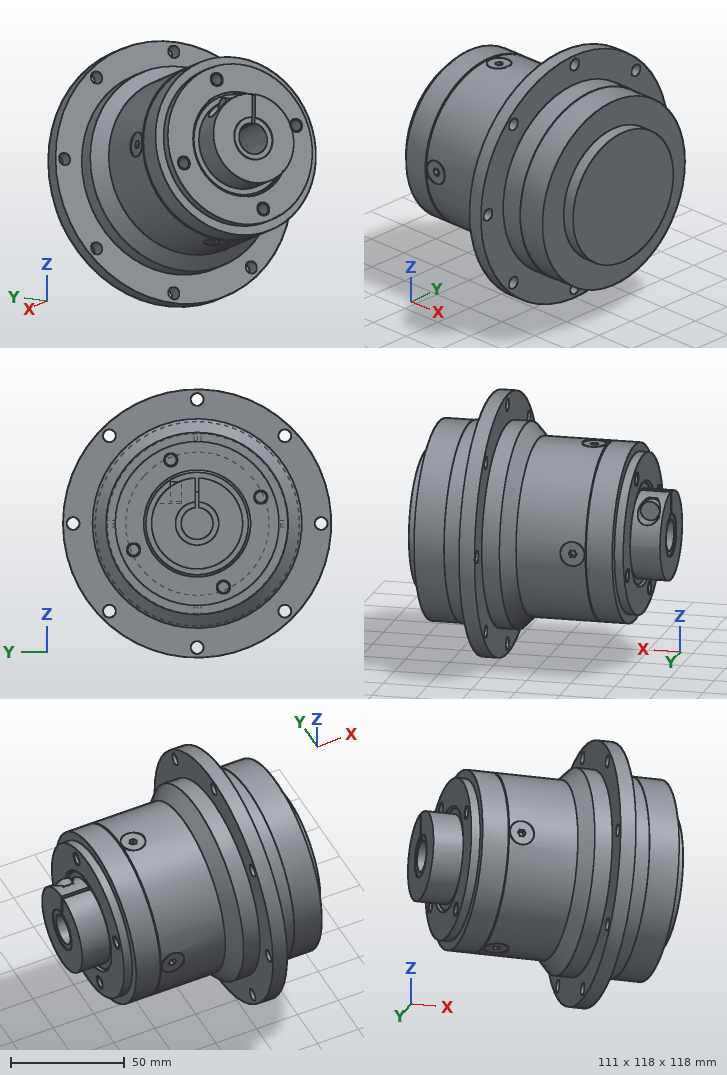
import cadquery as cq
import math


hub_end, hub_diameter = 12.6, 40.0
collar_end, collar_diameter = 16.6, 72.0
body_end, body_diameter = 60.2, 80.0
cone_end, shoulder_diameter = 66.2, 92.0
flange_start, flange_end, flange_diameter = 74.2, 81.2, 118.0
pilot_end, pilot_diameter = 91.6, 90.0
rear_end, rear_diameter = 105.2, 89.6
part_length, spigot_diameter = 111.0, 63.0

groove_start = 28.5
groove_width = 0.3
groove_depth = 0.4

recess_diameter = 47.0
recess_floor_diameter = 45.0
recess_floor_depth = 1.0
recess_bevel = (recess_diameter - recess_floor_diameter) / 2

mouth_diameter = 19.0
mouth_depth = 0.5
bore_diameter = 14.0
bore_depth = 30.0

slit_width = 1.5
slit_outer_end = hub_end + recess_floor_depth
slit_inner_end = bore_depth
slit_step_height = 13.9

screw_x = 6.5
screw_z = 14.0
counterbore_diameter = 10.0
counterbore_seat_y = 7.0
screw_head_diameter = 8.5
screw_head_length = 4.9

flange_hole_count = 8
flange_hole_diameter = 5.5
flange_hole_circle = 109.0

tapped_hole_count = 4
tapped_hole_diameter = 5.0
tapped_hole_mouth_diameter = 6.0
tapped_hole_mouth_depth = 0.2
tapped_hole_depth = 12.0
tapped_hole_circle = 60.5
tapped_hole_angle = 22.5

plug_count = 4
plug_x = 34.7
plug_diameter = 11.0
plug_face_radius = 39.5
socket_across_corners = 3.5
socket_depth = 3.0


def x_cylinder(diameter, start, end):
    """Cylinder on the part axis between two X positions."""
    return cq.Workplane("YZ").workplane(offset=start).circle(diameter / 2).extrude(end - start)


def y_cylinder(diameter, start, end):
    """Cylinder along +Y on the clamping screw axis."""
    center = cq.Vector(screw_x, start, screw_z)
    return cq.Workplane(cq.Solid.makeCylinder(diameter / 2, end - start, center, cq.Vector(0, 1, 0)))


def axial_cutter(diameter, start, end, y, z):
    """Cylinder parallel to the part axis at a given Y, Z."""
    return x_cylinder(diameter, start, end).translate((0, y, z))


def make_turned_body():
    profile = [
        (0, 0),
        (0, hub_diameter / 2),
        (hub_end, hub_diameter / 2),
        (hub_end, collar_diameter / 2),
        (collar_end, collar_diameter / 2),
        (collar_end, body_diameter / 2),
        (body_end, body_diameter / 2),
        (cone_end, shoulder_diameter / 2),
        (flange_start, shoulder_diameter / 2),
        (flange_start, flange_diameter / 2),
        (flange_end, flange_diameter / 2),
        (flange_end, pilot_diameter / 2),
        (pilot_end, pilot_diameter / 2),
        (pilot_end, rear_diameter / 2),
        (rear_end, rear_diameter / 2),
        (rear_end, spigot_diameter / 2),
        (part_length, spigot_diameter / 2),
        (part_length, 0),
    ]
    return cq.Workplane("XY").polyline(profile).close().revolve(360, (0, 0, 0), (1, 0, 0))


def make_joint_groove():
    groove_end = groove_start + groove_width
    ring = x_cylinder(body_diameter, groove_start, groove_end)
    return ring.cut(x_cylinder(body_diameter - 2 * groove_depth, groove_start, groove_end))


def make_hub_recess():
    floor = hub_end + recess_floor_depth
    section = [
        (hub_end, hub_diameter / 2),
        (hub_end, recess_diameter / 2),
        (floor + recess_bevel, recess_diameter / 2),
        (floor, recess_floor_diameter / 2),
        (floor, hub_diameter / 2),
    ]
    return cq.Workplane("XY").polyline(section).close().revolve(360, (0, 0, 0), (1, 0, 0))


def make_bore():
    return x_cylinder(mouth_diameter, 0, mouth_depth).union(x_cylinder(bore_diameter, 0, bore_depth))


def make_slit():
    outer = cq.Workplane("XY").box(
        slit_outer_end, slit_width, hub_diameter / 2, centered=(False, True, False)
    )
    inner = cq.Workplane("XY").box(
        slit_inner_end, slit_width, slit_step_height, centered=(False, True, False)
    )
    return outer.union(inner)


def add_clamping_screw(body):
    counterbore = y_cylinder(counterbore_diameter, counterbore_seat_y, hub_diameter / 2)
    head = y_cylinder(screw_head_diameter, counterbore_seat_y, counterbore_seat_y + screw_head_length)
    return body.cut(counterbore).union(head)


def cut_flange_holes(body):
    radius = flange_hole_circle / 2
    for index in range(flange_hole_count):
        angle = 2 * math.pi * index / flange_hole_count
        y, z = radius * math.cos(angle), radius * math.sin(angle)
        body = body.cut(axial_cutter(flange_hole_diameter, flange_start, flange_end, y, z))
    return body


def cut_tapped_holes(body):
    radius = tapped_hole_circle / 2
    for index in range(tapped_hole_count):
        angle = math.radians(tapped_hole_angle) + 2 * math.pi * index / tapped_hole_count
        y, z = radius * math.sin(angle), radius * math.cos(angle)
        mouth = axial_cutter(tapped_hole_mouth_diameter, hub_end, hub_end + tapped_hole_mouth_depth, y, z)
        drill = axial_cutter(tapped_hole_diameter, hub_end, hub_end + tapped_hole_depth, y, z)
        body = body.cut(drill).cut(mouth)
    return body


def cut_plugs(body):
    face = cq.Workplane("XY", origin=(plug_x, 0, plug_face_radius))
    recess = face.circle(plug_diameter / 2).extrude(body_diameter / 2 - plug_face_radius)
    socket = face.polygon(6, socket_across_corners).extrude(-socket_depth)
    cutter = recess.union(socket)
    for index in range(plug_count):
        body = body.cut(cutter.rotate((0, 0, 0), (1, 0, 0), 360 * index / plug_count))
    return body


result = make_turned_body()
result = result.cut(make_joint_groove())
result = result.cut(make_hub_recess())
result = result.cut(make_bore())
result = result.cut(make_slit())
result = add_clamping_screw(result)
result = cut_flange_holes(result)
result = cut_tapped_holes(result)
result = cut_plugs(result)